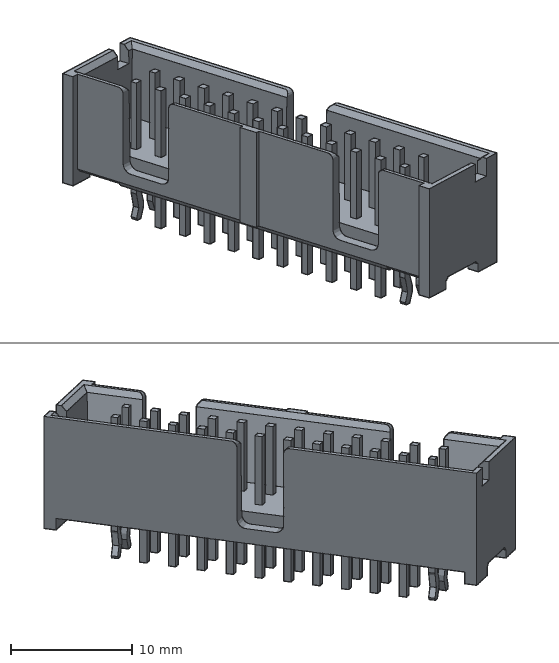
import cadquery as cq


length = 38.1
depth = 9.15
rim_z = 9.85
end_thickness = 1.05
front_recess = 0.65
underside_z = 1.03
back_y = depth / 2
front_y = front_recess - depth / 2
cut_margin = 0.4

cavity_depth = 6.48
mouth_chamfer = 0.45
lip_thickness = 0.45
front_lip_thickness = 0.35
end_draft = 0.15
back_draft = 0.23
front_draft = 0.1
floor_z = rim_z - cavity_depth
mouth_z = rim_z - mouth_chamfer
floor_back_y = back_y - lip_thickness - mouth_chamfer - back_draft
floor_front_y = front_y + front_lip_thickness + mouth_chamfer + front_draft

slot_bottom_z = 2.32
slot_bottom_radius = 0.8
slot_mouth_radius = 0.55
front_slot_width = 4.72
front_slot_offset = 10.9
back_slot_width = 4.1

top_notch_width = 1.5
top_notch_from_back = 1.4
top_notch_depth = 1.6
foot_width_back = 2.5
foot_width_front = 2.3
foot_notch_chamfer = 0.3

key_width = 1.7
key_height = 0.35

edge_chamfer_top_z = 1.3
rib_length = 27.9
rib_bottom_z = 0.7
rib_inner_from_front = 2.6

columns = 12
extra_pitches = 3
pitch = length / (columns + extra_pitches)
pin_size = 0.65
end_pin_width = 0.57
pin_bottom_z = -3.05
pin_top_z = mouth_z
row_y = pitch / 2

tail_bow = 0.35
tail_bend_bow = 0.08
tail_tip_offset = 0.05
tail_tip_bevel = 0.1
outer_bend_start_z = -0.6
outer_bend_end_z = -0.85
outer_peak_z = -2.0
outer_tip_z = -2.82
inner_bend_z = -0.55
inner_peak_top_z = -1.6
inner_peak_bottom_z = -2.1
inner_tip_z = -2.9


def box(x0, x1, y0, y1, z0, z1):
    return cq.Workplane("XY").box(x1 - x0, y1 - y0, z1 - z0, centered=False).translate((x0, y0, z0))


def tapered_block(lower, upper, z0, z1):
    """Loft between two rectangles, each given as (half length, front y, back y)."""
    lower_half, lower_front, lower_back = lower
    upper_half, upper_front, upper_back = upper
    return (
        cq.Workplane("XY", origin=(0, (lower_front + lower_back) / 2, z0))
        .rect(2 * lower_half, lower_back - lower_front)
        .workplane(offset=z1 - z0)
        .center(0, (upper_front + upper_back - lower_front - lower_back) / 2)
        .rect(2 * upper_half, upper_back - upper_front)
        .loft(ruled=True)
    )


def make_cavity():
    mouth_half = length / 2 - lip_thickness
    throat_half = mouth_half - mouth_chamfer
    mouth = (mouth_half, front_y + front_lip_thickness, back_y - lip_thickness)
    throat = (throat_half, mouth[1] + mouth_chamfer, mouth[2] - mouth_chamfer)
    floor = (throat_half - end_draft, floor_front_y, floor_back_y)
    walls = tapered_block(floor, throat, floor_z, mouth_z)
    return walls.union(tapered_block(throat, mouth, mouth_z, rim_z))


def make_slot(x_center, width, y0, y1):
    """Wall slot with rounded bottom corners and an opening that flares at the rim."""
    half = width / 2
    bottom_r = slot_bottom_radius
    flare_r = slot_mouth_radius
    flare_z = rim_z - flare_r
    return (
        cq.Workplane("XZ", origin=(x_center, y1, 0))
        .moveTo(-half - flare_r, rim_z)
        .radiusArc((-half, flare_z), flare_r)
        .lineTo(-half, slot_bottom_z + bottom_r)
        .radiusArc((-half + bottom_r, slot_bottom_z), -bottom_r)
        .lineTo(half - bottom_r, slot_bottom_z)
        .radiusArc((half, slot_bottom_z + bottom_r), -bottom_r)
        .lineTo(half, flare_z)
        .radiusArc((half + flare_r, rim_z), flare_r)
        .close()
        .extrude(y1 - y0)
    )


def make_foot_notch():
    """Opening between the feet of both end walls, with chamfered upper corners."""
    y0 = -depth / 2 + foot_width_front
    y1 = back_y - foot_width_back
    notch = box(-length / 2, length / 2, y0, y1, -cut_margin, underside_z)
    return notch.edges("|X and >Z").chamfer(foot_notch_chamfer)


def make_central_body():
    """Block between the end walls, with its lower front edge bevelled at 45 degrees."""
    bevel = edge_chamfer_top_z - underside_z
    body = box(-length / 2, length / 2, front_y, back_y, underside_z, rim_z)
    return body.edges("|X and <Y and <Z").chamfer(bevel)


def make_rib():
    """Standoff rib that carries on the front bevel and slopes back to the underside."""
    bevel = edge_chamfer_top_z - rib_bottom_z
    inner_y = rib_inner_from_front - depth / 2
    outline = [
        (front_y, edge_chamfer_top_z),
        (front_y + bevel, rib_bottom_z),
        (inner_y, rib_bottom_z),
        (inner_y + underside_z - rib_bottom_z, underside_z),
        (inner_y, edge_chamfer_top_z),
    ]
    return cq.Workplane("YZ").polyline(outline).close().extrude(rib_length / 2, both=True)


def make_housing():
    housing = make_central_body().union(make_rib())
    for x0 in (-length / 2, length / 2 - end_thickness):
        housing = housing.union(box(x0, x0 + end_thickness, -depth / 2, back_y, 0, rim_z))
    key = box(-key_width / 2, key_width / 2, front_y - key_height, front_y, edge_chamfer_top_z, rim_z)
    housing = housing.union(key)

    middle = length / 2 - end_thickness
    end_notch = make_foot_notch().cut(box(-middle, middle, -depth, depth, -cut_margin, rim_z))
    housing = housing.cut(end_notch).cut(make_cavity())

    for side in (-1, 1):
        housing = housing.cut(make_slot(side * front_slot_offset, front_slot_width, front_y, floor_front_y))
    housing = housing.cut(make_slot(0, back_slot_width, floor_back_y, back_y))

    notch_back = back_y - top_notch_from_back
    notch_front = notch_back - top_notch_width
    half = length / 2
    top_notch = box(-half, half, notch_front, notch_back, rim_z - top_notch_depth, rim_z)
    return housing.cut(top_notch)


def make_straight_pin(x, y):
    half = pin_size / 2
    return box(x - half, x + half, y - half, y + half, pin_bottom_z, pin_top_z)


def make_kinked_pin(x, side):
    """End-column pin whose tail bows toward the other row; side is the sign of its y."""
    outer = row_y + pin_size / 2
    inner = row_y - pin_size / 2
    outline = [
        (outer, pin_top_z),
        (outer, outer_bend_start_z),
        (outer - tail_bend_bow, outer_bend_end_z),
        (outer - tail_bow, outer_peak_z),
        (outer - tail_tip_offset, outer_tip_z),
        (outer - tail_tip_offset - tail_tip_bevel, pin_bottom_z),
        (inner + tail_tip_offset, pin_bottom_z),
        (inner - tail_tip_offset, inner_tip_z),
        (inner - tail_bow, inner_peak_bottom_z),
        (inner - tail_bow, inner_peak_top_z),
        (inner, inner_bend_z),
        (inner, pin_top_z),
    ]
    points = [(side * y, z) for y, z in outline]
    profile = cq.Workplane("YZ", origin=(x, 0, 0)).polyline(points).close()
    return profile.extrude(end_pin_width / 2, both=True)


result = make_housing()
for column in range(columns):
    pin_x = (column - (columns - 1) / 2) * pitch
    for row_side in (-1, 1):
        if column in (0, columns - 1):
            pin = make_kinked_pin(pin_x, row_side)
        else:
            pin = make_straight_pin(pin_x, row_side * row_y)
        result = result.union(pin)